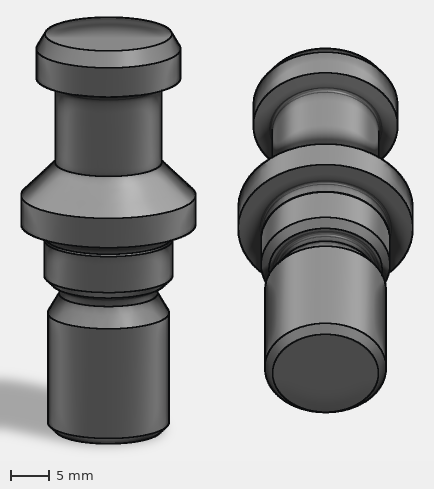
import cadquery as cq
import math

total_height = 54.0

head_radius = 9.5
head_bevel_height = 2.0
head_bevel_angle = math.radians(30)
head_rim_height = 4.0
head_underside_angle = math.radians(15)
neck_radius = 7.0
fillet_radius = 0.5

flange_radius = 11.5
flange_rim_height = 4.0
flange_seat_z = 28.0

collar_radius = 8.5
collar_length = 8.0
collar_chamfer = 1.0
relief_radius = 8.3
relief_length = 1.8
relief_fillet = 0.3
relief_angle = math.radians(30)

undercut_radius = 6.5
shank_radius = 8.0
shank_cone_angle = math.radians(30)
shank_length = 16.0
shank_chamfer = 1.0

head_top_radius = head_radius - head_bevel_height * math.tan(head_bevel_angle)
head_rim_top_z = total_height - head_bevel_height
head_rim_bottom_z = head_rim_top_z - head_rim_height
neck_top_z = head_rim_bottom_z - (head_radius - neck_radius) * math.tan(head_underside_angle)
flange_rim_top_z = flange_seat_z + flange_rim_height
neck_bottom_z = flange_rim_top_z + (flange_radius - neck_radius)
relief_end_z = flange_seat_z - relief_length
collar_top_z = relief_end_z - (collar_radius - relief_radius) / math.tan(relief_angle)
collar_end_z = flange_seat_z - collar_length
shank_cone_top_z = shank_length + (shank_radius - undercut_radius) / math.tan(shank_cone_angle)

half_section = [
    (0, 0),
    (shank_radius - shank_chamfer, 0),
    (shank_radius, shank_chamfer),
    (shank_radius, shank_length),
    (undercut_radius, shank_cone_top_z),
    (undercut_radius, collar_end_z),
    (collar_radius - collar_chamfer, collar_end_z),
    (collar_radius, collar_end_z + collar_chamfer),
    (collar_radius, collar_top_z),
    (relief_radius, relief_end_z),
    (relief_radius, flange_seat_z),
    (flange_radius, flange_seat_z),
    (flange_radius, flange_rim_top_z),
    (neck_radius, neck_bottom_z),
    (neck_radius, neck_top_z),
    (head_radius, head_rim_bottom_z),
    (head_radius, head_rim_top_z),
    (head_top_radius, total_height),
    (0, total_height),
]
stud = cq.Workplane("XZ").polyline(half_section).close().revolve(360, (0, 0, 0), (0, 1, 0))


def fillet_corner(body, corner_radius, corner_z, size):
    """Round the circular edge with the given radius and height."""
    def is_corner(edge):
        on_height = math.isclose(edge.Center().z, corner_z, abs_tol=5.4e-05)
        is_circle = edge.geomType() == "CIRCLE"
        return on_height and is_circle and math.isclose(edge.radius(), corner_radius, abs_tol=5.4e-05)

    corner_edges = [edge for edge in body.edges().vals() if is_corner(edge)]
    return body.newObject(corner_edges).fillet(size)


stud = fillet_corner(stud, neck_radius, neck_top_z, fillet_radius)
stud = fillet_corner(stud, relief_radius, flange_seat_z, relief_fillet)
stud = fillet_corner(stud, undercut_radius, collar_end_z, fillet_radius)

result = stud